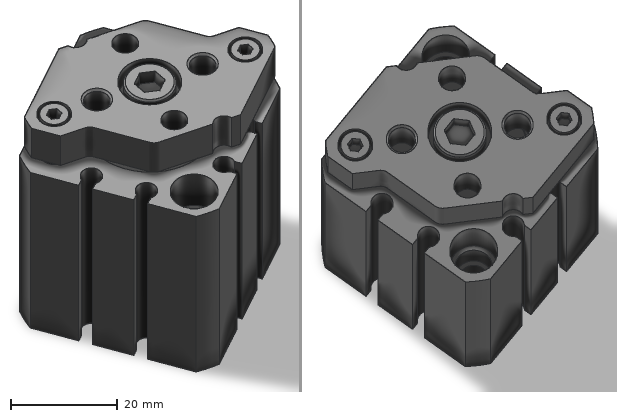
import cadquery as cq
import math

total_height = 53.5
plate_thickness = 8.0
plate_gap = 3.0
plate_bottom = total_height - plate_thickness
housing_height = plate_bottom - plate_gap

housing_side = 40.0
housing_corner_radius = 26.0
slot_offset = 5.5
slot_width = 2.8
slot_round_radius = 2.1
slot_round_distance = 16.9
recess_radius = 13.0
recess_depth = 1.0

corner_offset = 14.0
mount_hole_radius = 2.7
mount_step_radius = 3.6
mount_step_depth = 13.9
mount_mouth_radius = 4.5
mount_mouth_depth = 8.55

piston_rod_radius = 6.0
guide_rod_radius = 2.7
rod_insertion = 21.4
rod_bottom = housing_height - rod_insertion

plate_half_side = 19.0
plate_corner_radius = 25.3
waist_half_width = 14.75
ear_start = 10.9
diagonal_offset = 21.15
inner_bend_radius = 2.0
outer_bend_radius = 2.5
notch_radius = 2.15

plate_hole_offset = 7.75
plate_hole_radius = 2.5
countersink_radius = 2.95

bore_depth = 4.3
hex_depth = 3.0
center_bore_radius = 6.0
center_head_radius = 5.0
center_hex_width = 5.1
center_head_chamfer = 0.4
guide_bore_radius = 3.25
guide_head_radius = 2.75
guide_hex_width = 2.5

rod_corners = [(-corner_offset, -corner_offset), (corner_offset, corner_offset)]
mount_corners = [(-corner_offset, corner_offset), (corner_offset, -corner_offset)]


def cylinder(radius, bottom, top, points=((0, 0),)):
    """Upright cylinders of one radius between two heights."""
    return (
        cq.Workplane("XY", origin=(0, 0, bottom))
        .pushPoints(list(points))
        .circle(radius)
        .extrude(top - bottom)
    )


def rods():
    """The piston rod and the two guide rods, up to the underside of the plate."""
    piston_rod = cylinder(piston_rod_radius, rod_bottom, plate_bottom)
    guide_rods = cylinder(guide_rod_radius, rod_bottom, plate_bottom, rod_corners)
    return piston_rod.union(guide_rods)


def side_slot(offset):
    """Keyhole-shaped slot running up the +Y side."""
    neck_length = housing_side / 2 - slot_round_distance
    neck = cq.Workplane("XY").box(
        slot_width, neck_length, housing_height, centered=(True, False, False)
    )
    neck = neck.translate((offset, slot_round_distance, 0))
    round_bottom = cylinder(
        slot_round_radius, 0, housing_height, [(offset, slot_round_distance)]
    )
    return neck.union(round_bottom)


def make_housing():
    """Slotted square body with stepped mounting holes, a round recess and rod bores."""
    body = cq.Workplane("XY").box(
        housing_side, housing_side, housing_height, centered=(True, True, False)
    )
    body = body.intersect(cylinder(housing_corner_radius, 0, housing_height))

    for side in range(4):
        for offset in (-slot_offset, slot_offset):
            body = body.cut(side_slot(offset).rotate((0, 0, 0), (0, 0, 1), 90 * side))

    for radius, depth in (
        (mount_hole_radius, housing_height),
        (mount_step_radius, mount_step_depth),
        (mount_mouth_radius, mount_mouth_depth),
    ):
        body = body.cut(cylinder(radius, housing_height - depth, housing_height, mount_corners))

    body = body.cut(cylinder(recess_radius, housing_height - recess_depth, housing_height))
    return body.cut(rods())


def plate_blank():
    """Plate with two ears, two cut-off corners and bends along the waist edges."""
    ear_slope_end = ear_start - (plate_half_side - waist_half_width)
    cut_start = diagonal_offset - waist_half_width
    cut_end = diagonal_offset - plate_half_side
    half_outline = [
        (-plate_half_side, -plate_half_side),
        (-ear_start, -plate_half_side),
        (-ear_slope_end, -waist_half_width),
        (cut_start, -waist_half_width),
        (plate_half_side, -cut_end),
    ]
    outline = half_outline + [(-x, -y) for x, y in half_outline]
    blank = (
        cq.Workplane("XY", origin=(0, 0, plate_bottom))
        .polyline(outline)
        .close()
        .extrude(plate_thickness)
    )
    middle_height = plate_bottom + plate_thickness / 2
    for bend_x, radius in ((-ear_slope_end, inner_bend_radius), (cut_start, outer_bend_radius)):
        for turn in (-1, 1):
            edge_middle = (-turn * bend_x, turn * waist_half_width, middle_height)
            bend_edge = blank.edges(cq.selectors.NearestToPointSelector(edge_middle))
            blank = bend_edge.fillet(radius)
    return blank.intersect(cylinder(plate_corner_radius, plate_bottom, total_height))


def sunk_screw(plate, point, bore_radius, head_radius, hex_width, head_chamfer=0):
    """Bore in the plate top with a socket head standing in it."""
    bore_floor = total_height - bore_depth
    head = cylinder(head_radius, bore_floor, total_height, [point])
    if head_chamfer:
        head = head.faces(">Z").edges().chamfer(head_chamfer)
    hex_diameter = hex_width / math.cos(math.pi / 6)
    socket = (
        cq.Workplane("XY", origin=(*point, total_height - hex_depth))
        .transformed(rotate=(0, 0, 90))
        .polygon(6, hex_diameter)
        .extrude(hex_depth)
    )
    plate = plate.cut(cylinder(bore_radius, bore_floor, total_height, [point]))
    return plate.union(head.cut(socket))


def make_moving_plate():
    """End plate carried on the rods, with its screws, in one piece."""
    plate = plate_blank()

    notches = [(-slot_round_distance, slot_offset), (slot_round_distance, -slot_offset)]
    plate = plate.cut(cylinder(notch_radius, plate_bottom, total_height, notches))

    for x in (-plate_hole_offset, plate_hole_offset):
        for y in (-plate_hole_offset, plate_hole_offset):
            hole = cylinder(plate_hole_radius, plate_bottom, total_height, [(x, y)])
            plate = plate.cut(hole)
            if x == y:
                rim_point = (x, y - plate_hole_radius, total_height)
                rim = plate.edges(cq.selectors.NearestToPointSelector(rim_point))
                plate = rim.chamfer(countersink_radius - plate_hole_radius)

    plate = sunk_screw(
        plate, (0, 0), center_bore_radius, center_head_radius, center_hex_width, center_head_chamfer
    )
    for point in rod_corners:
        plate = sunk_screw(plate, point, guide_bore_radius, guide_head_radius, guide_hex_width)
    return plate.union(rods())


housing = make_housing()
moving_plate = make_moving_plate()
result = cq.Compound.makeCompound([housing.val(), moving_plate.val()])